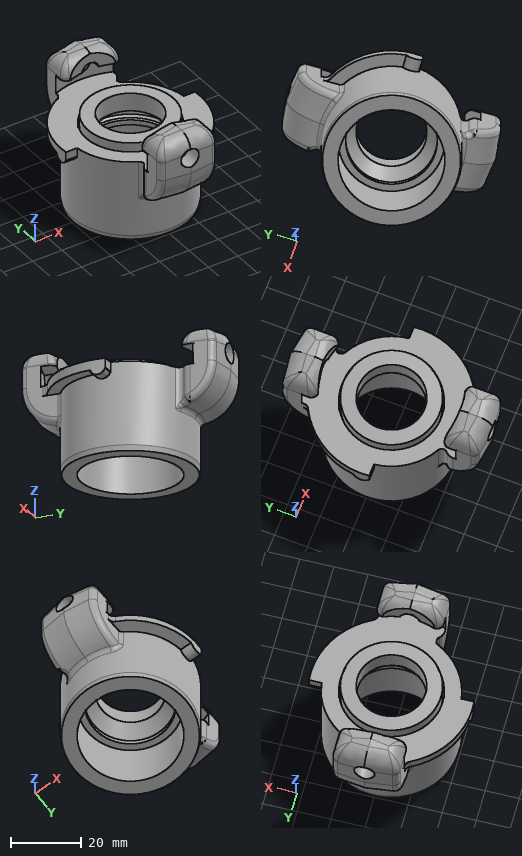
import cadquery as cq
import math

barrel_radius = 20.0
barrel_top = 27.0
bottom_bevel_width = 0.4
bottom_bevel_height = 1.7

thread_radius = 30.29 / 2
ledge_radius = 26.0 / 2
ledge_bottom = 17.0
ledge_top = 18.7
seat_radius = 35.0 / 2
seat_top = 24.0
mouth_radius = 30.0 / 2

flange_radius = 47.5 / 2
flange_bottom = barrel_top - 3.0
bead_radius = 2.5
bead_center_height = 24.8

claw_top = 39.28
claw_reach = 31.0
claw_half_width = 9.8
claw_arc_radius = 12.0
claw_arc_height = claw_top - claw_arc_radius
claw_root_y = 14.0
claw_inner_y = 18.4
claw_slope = math.tan(math.radians(7))
crown_low = claw_top - claw_half_width * claw_slope
top_round = 5.0
side_round = 2.0
slot_radius = 25.5
slot_top = 33.1
tip_radius = 20.8
pin_hole_radius = 6.0 / 2
pin_hole_height = 32.3

root_round = 1.5
flange_round = 2.0
notch_round = 1.5
notch_lip_round = 3.0
notch_end_y = 22.55
notch_margin = 2.0
notch_bottom_round = 1.5

gasket_foot_radius = 34.5 / 2
gasket_neck_radius = 29.0 / 2
gasket_bore_radius = 20.0 / 2
gasket_rim_height = 29.75
gasket_top = 30.0
gasket_bore_bottom = 23.9
lip_groove_radius = 15.0
lip_groove_height = 19.3
lip_edge_radius = 14.1

pick = 0.1


def disc(radius, bottom, top):
    return cq.Workplane("XY").workplane(offset=bottom).circle(radius).extrude(top - bottom)


def half_turn(shape):
    return shape.rotate((0, 0, 0), (0, 0, 1), 180)


def toward(start, end, distance):
    """Point at a given distance from start on the line to end."""
    span = math.dist(start, end)
    return tuple(s + (e - s) * distance / span for s, e in zip(start, end))


def claw_profile(x):
    """Closed outline of the claw at distance x from its middle plane."""
    drop = x * claw_slope
    outer_y = claw_reach - drop
    inner_y = claw_inner_y + drop
    top = claw_top - drop
    arc_center_y = outer_y - claw_arc_radius
    diagonal = claw_arc_radius * math.sqrt(0.5)
    arc_mid = (arc_center_y + diagonal, claw_arc_height - diagonal)
    arc_bottom = claw_arc_height - claw_arc_radius
    return (
        cq.Workplane("YZ", origin=(x, 0, 0))
        .moveTo(inner_y, top)
        .lineTo(outer_y, top)
        .lineTo(outer_y, claw_arc_height)
        .threePointArc(arc_mid, (arc_center_y, arc_bottom))
        .lineTo(claw_root_y, arc_bottom)
        .lineTo(claw_root_y, barrel_top)
        .lineTo(inner_y, barrel_top)
        .close()
        .wire()
        .val()
    )


def claw_half():
    """The x > 0 half of the claw block at +Y, with its crown and its long side edges rounded."""
    profiles = [claw_profile(0), claw_profile(claw_half_width)]
    half = cq.Workplane(cq.Solid.makeLoft(profiles, True))
    crown = cq.selectors.BoxSelector(
        (pick, 0, crown_low - pick),
        (claw_half_width + pick, claw_reach, claw_top),
    )
    half = half.edges(crown).fillet(top_round)
    sides = cq.selectors.BoxSelector(
        (claw_half_width - pick, claw_inner_y, 0),
        (claw_half_width + pick, claw_reach, claw_top - top_round),
    )
    return half.edges(sides).fillet(side_round)


def is_root_edge(edge):
    """True for an edge that lies on the barrel wall where the claw grows out of it."""
    ends = [edge.positionAt(t) for t in (0, 0.3, 0.7, 1)]
    on_wall = all(abs(math.hypot(p.x, p.y) - barrel_radius) < 0.01 for p in ends)
    beside_claw = all(p.y > claw_root_y for p in ends)
    low = [p.z for p in ends]
    return on_wall and beside_claw and 0 < min(low) < barrel_top - pick


def notch():
    """Waste beside the claw root: a hollow against the barrel, then a lip onto the claw side."""
    lip_center = (claw_half_width - notch_lip_round, notch_end_y)
    barrel_reach = barrel_radius + notch_round
    lip_reach = notch_round + notch_lip_round
    span = math.hypot(*lip_center)
    along = (span**2 + barrel_reach**2 - lip_reach**2) / (2 * span)
    aside = math.sqrt(barrel_reach**2 - along**2)
    hollow_center = (
        (along * lip_center[0] + aside * lip_center[1]) / span,
        (along * lip_center[1] - aside * lip_center[0]) / span,
    )
    barrel_touch = toward((0, 0), hollow_center, barrel_radius)
    lip_touch = toward(hollow_center, lip_center, notch_round)
    hollow_mid = (hollow_center[0] - notch_round, hollow_center[1])
    lip_end = (claw_half_width, notch_end_y)
    lip_chord_mid = tuple((a + b) / 2 for a, b in zip(lip_touch, lip_end))
    lip_mid = toward(lip_center, lip_chord_mid, notch_lip_round)
    waste = (
        cq.Workplane("XY")
        .moveTo(*barrel_touch)
        .threePointArc(hollow_mid, lip_touch)
        .threePointArc(lip_mid, lip_end)
        .lineTo(claw_half_width + notch_margin, notch_end_y)
        .lineTo(claw_half_width + notch_margin, claw_root_y)
        .lineTo(barrel_touch[0], claw_root_y)
        .close()
        .extrude(barrel_top)
    )
    lip_edge = cq.selectors.NearestToPointSelector((lip_touch[0], lip_touch[1], 15.6))
    return waste.cut(disc(barrel_radius, 0, barrel_top)), lip_edge


def flange_sector():
    """Wide quarter of the flange at -X, with the bead under its end and its round into the claw."""
    sector = (
        disc(flange_radius, flange_bottom, barrel_top)
        .intersect(
            cq.Workplane("XY")
            .rect(-flange_radius, flange_radius + bead_radius, centered=False)
            .extrude(barrel_top)
            .translate((0, -bead_radius, 0))
        )
    )
    bead = (
        cq.Workplane("YZ")
        .moveTo(-bead_radius, bead_center_height)
        .threePointArc((0, bead_center_height - bead_radius), (bead_radius, bead_center_height))
        .close()
        .extrude(-flange_radius)
        .intersect(disc(flange_radius, 0, barrel_top))
    )
    reach = flange_radius + flange_round
    round_x = -claw_half_width - flange_round
    round_center = (round_x, math.sqrt(reach**2 - round_x**2))
    rim_touch = toward((0, 0), round_center, flange_radius)
    corner = (-claw_half_width, math.sqrt(flange_radius**2 - claw_half_width**2))
    web = (
        cq.Workplane("XY")
        .workplane(offset=flange_bottom)
        .moveTo(-claw_half_width, round_center[1])
        .threePointArc(toward(round_center, corner, flange_round), rim_touch)
        .lineTo(-claw_half_width, rim_touch[1] - flange_round)
        .close()
        .extrude(barrel_top - flange_bottom)
    )
    return sector.union(bead).union(web)


def half_body():
    """The y > 0 half of the solid barrel with its claw."""
    block = claw_half()
    barrel = disc(barrel_radius, 0, barrel_top)
    front_half = (
        cq.Workplane("XY")
        .rect(2 * barrel_radius, barrel_radius + pick)
        .extrude(barrel_top)
        .translate((0, (barrel_radius + pick) / 2, 0))
    )
    body = barrel.intersect(front_half).union(block).union(block.mirror("YZ"))
    root_edges = [edge for edge in body.edges().vals() if is_root_edge(edge)]
    body = body.newObject(root_edges).fillet(root_round)
    waste, lip_edge = notch()
    body = body.cut(waste)
    body = body.edges(lip_edge).fillet(notch_bottom_round)
    body = body.cut(disc(slot_radius, barrel_top, slot_top))
    body = body.cut(disc(tip_radius, barrel_top, claw_top))
    return body


def build_housing():
    half = half_body()
    sector = flange_sector()
    body = half.union(half_turn(half)).union(sector).union(half_turn(sector))
    bore = (
        disc(thread_radius, 0, ledge_bottom)
        .union(disc(ledge_radius, ledge_bottom, ledge_top))
        .union(disc(seat_radius, ledge_top, seat_top))
        .union(disc(mouth_radius, seat_top, barrel_top))
    )
    pin_hole = (
        cq.Workplane("XZ")
        .center(0, pin_hole_height)
        .circle(pin_hole_radius)
        .extrude(claw_reach, both=True)
    )
    bevel = (
        cq.Workplane("XZ")
        .moveTo(barrel_radius - bottom_bevel_width, 0)
        .lineTo(barrel_radius, bottom_bevel_height)
        .lineTo(barrel_radius, 0)
        .close()
        .revolve(360, (0, 0, 0), (0, 1, 0))
    )
    return body.cut(bore).cut(pin_hole).cut(bevel)


def build_gasket():
    """Sealing ring: wide foot in the seat, neck through the mouth, pressure lip on the ledge."""
    return (
        cq.Workplane("XZ")
        .moveTo(gasket_bore_radius, gasket_top)
        .lineTo(gasket_neck_radius, gasket_rim_height)
        .lineTo(gasket_neck_radius, seat_top)
        .lineTo(gasket_foot_radius, seat_top)
        .lineTo(gasket_foot_radius, ledge_top)
        .lineTo(lip_edge_radius, ledge_top)
        .lineTo(lip_groove_radius, lip_groove_height)
        .lineTo(gasket_bore_radius, gasket_bore_bottom)
        .close()
        .revolve(360, (0, 0, 0), (0, 1, 0))
    )


housing = build_housing()
gasket = build_gasket()
result = cq.Compound.makeCompound([housing.val(), gasket.val()])